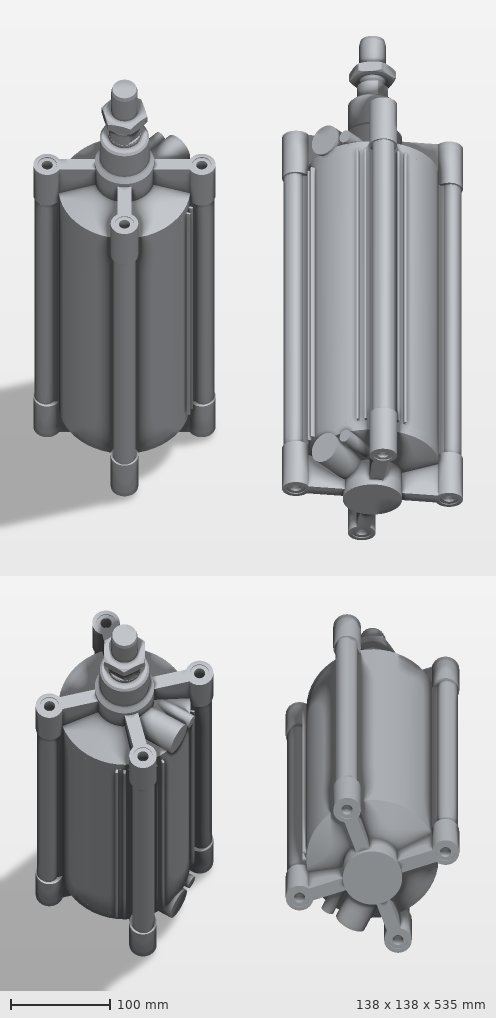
import cadquery as cq
import math

total_height = 535.0
overall_width = 138.0

lower_cap_foot = 6.0
cap_height = 48.0
upper_cap_base = 368.5
disc_diameter = 133.0
disc_height = 11.0
hub_diameter = 60.0
cone_height = 13.5
rib_width = 14.0

boss_diameter = 28.0
boss_offset = (overall_width - boss_diameter) / 2
counterbore_diameter = 19.0
counterbore_depth = 1.0
screw_hole_diameter = 11.0
screw_hole_depth = 21.5

port_diameter = 32.0
port_x = 8.5
port_height = 22.5
port_face_y = overall_width / 2
cushion_boss_diameter = 13.5
cushion_boss_x = -17.0
cushion_boss_height = 17.5
cushion_boss_start_y = 31.0

upper_hub_rise = 5.0
upper_hub_top = upper_cap_base + cap_height + upper_hub_rise
guide_diameter = 50.0
guide_flare_height = 5.5
guide_top = 461.0
guide_chamfer = 2.0

barrel_diameter = disc_diameter
barrel_base = lower_cap_foot + cap_height
barrel_length = upper_cap_base - barrel_base
lobe_offset = 56.0
lobe_width = 21.5
lobe_corner_radius = 9.5
web_width = 15.0
rail_angle = 28.0
rail_spacing = 8.0
rail_width = 2.0
rail_reach = 70.5
rail_root = 5.5

rod_diameter = 32.0
head_diameter = 31.5
head_base = 465.5
flats_width = 27.0
flats_base = 466.5
flats_top = 481.0
thread_diameter = 27.0
neck_diameter = 24.5
neck_top = 484.0
thread_runout = 2.0
thread_chamfer = 4.5
tip_diameter = 24.5
nut_base = 489.0
nut_height = 11.0
nut_across_flats = 41.0
nut_chamfer_angle = 25.0

CORNERS = [(1, 1), (-1, 1), (-1, -1), (1, -1)]


def cylinder(diameter, base, height, x=0.0, y=0.0):
    """Upright cylinder standing on the level `base`."""
    return cq.Workplane("XY", origin=(x, y, base)).circle(diameter / 2).extrude(height)


def y_cylinder(diameter, x, z, y_start, y_end):
    """Cylinder lying along +Y."""
    plane = cq.Plane(origin=(x, y_start, z), xDir=(1, 0, 0), normal=(0, 1, 0))
    return cq.Workplane(plane).circle(diameter / 2).extrude(y_end - y_start)


def diagonal_bars(width, length, base, height):
    """Two crossed bars along the diagonals of the square section."""
    bars = cq.Workplane("XY", origin=(0, 0, base))
    bars = bars.transformed(rotate=(0, 0, 45)).rect(length, width).extrude(height)
    return bars.union(bars.rotate((0, 0, 0), (0, 0, 1), 90))


def make_cap_block(hub_top):
    """Cap with its barrel side on Z = 0 and its hub pointing up to `hub_top`."""
    boss_diagonal = boss_offset * math.sqrt(2)

    profile = [
        (0, 0),
        (disc_diameter / 2, 0),
        (disc_diameter / 2, disc_height),
        (hub_diameter / 2, disc_height + cone_height),
        (hub_diameter / 2, hub_top),
        (0, hub_top),
    ]
    cap = cq.Workplane("XZ").polyline(profile).close().revolve(360, (0, 0, 0), (0, 1, 0))

    cap = cap.union(diagonal_bars(rib_width, 2 * boss_diagonal, 0, cap_height))
    for x_side, y_side in CORNERS:
        cap = cap.union(cylinder(boss_diameter, 0, cap_height, x_side * boss_offset, y_side * boss_offset))

    cap = cap.union(y_cylinder(port_diameter, port_x, port_height, 0, port_face_y))
    cushion_boss = y_cylinder(
        cushion_boss_diameter, cushion_boss_x, cushion_boss_height, cushion_boss_start_y, port_face_y
    )
    cap = cap.union(cushion_boss)

    hole_places = [(x_side * boss_offset, y_side * boss_offset) for x_side, y_side in CORNERS]
    holes = cq.Workplane("XY", origin=(0, 0, cap_height)).pushPoints(hole_places)
    cap = cap.cut(holes.circle(screw_hole_diameter / 2).extrude(-screw_hole_depth))
    return cap.cut(holes.circle(counterbore_diameter / 2).extrude(-counterbore_depth))


def make_lower_cap():
    block = make_cap_block(barrel_base)
    return block.mirror("XY").translate((0, 0, barrel_base))


def make_upper_cap():
    cap = make_cap_block(upper_hub_top - upper_cap_base).translate((0, 0, upper_cap_base))

    flare_top = upper_hub_top + guide_flare_height
    profile = [
        (0, upper_hub_top),
        (hub_diameter / 2, upper_hub_top),
        (guide_diameter / 2, flare_top),
        (guide_diameter / 2, guide_top - guide_chamfer),
        (guide_diameter / 2 - guide_chamfer, guide_top),
        (0, guide_top),
    ]
    guide = cq.Workplane("XZ").polyline(profile).close().revolve(360, (0, 0, 0), (0, 1, 0))
    rod_bore = cylinder(rod_diameter, upper_cap_base, guide_top - upper_cap_base)
    return cap.union(guide).cut(rod_bore)


def make_barrel():
    barrel = cylinder(barrel_diameter, barrel_base, barrel_length)

    lobe_diagonal = lobe_offset * math.sqrt(2)
    barrel = barrel.union(diagonal_bars(web_width, 2 * lobe_diagonal, barrel_base, barrel_length))
    for x_side, y_side in CORNERS:
        place = (x_side * lobe_offset, y_side * lobe_offset, barrel_base)
        lobe = cq.Workplane("XY", origin=place).rect(lobe_width, lobe_width).extrude(barrel_length)
        barrel = barrel.union(lobe.edges("|Z").fillet(lobe_corner_radius))

    rail_start = barrel_diameter / 2 - rail_root
    for angle in (rail_angle, 90 - rail_angle, 90 + rail_angle, 180 - rail_angle):
        for side in (-1, 1):
            rail = cq.Workplane("XY").box(
                rail_reach - rail_start, rail_width, barrel_length, centered=(False, True, False)
            )
            rail = rail.translate((rail_start, side * rail_spacing / 2, barrel_base))
            barrel = barrel.union(rail.rotate((0, 0, 0), (0, 0, 1), angle))
    return barrel


def make_rod():
    profile = [
        (0, upper_cap_base),
        (rod_diameter / 2, upper_cap_base),
        (rod_diameter / 2, head_base),
        (head_diameter / 2, head_base),
        (head_diameter / 2, flats_top),
        (neck_diameter / 2, flats_top),
        (neck_diameter / 2, neck_top),
        (thread_diameter / 2, neck_top + thread_runout),
        (thread_diameter / 2, total_height - thread_chamfer),
        (tip_diameter / 2, total_height),
        (0, total_height),
    ]
    rod = cq.Workplane("XZ").polyline(profile).close().revolve(360, (0, 0, 0), (0, 1, 0))

    flats_height = flats_top - flats_base
    cutter_centre = (flats_width + rod_diameter) / 2
    for side in (-1, 1):
        cutter = cq.Workplane("XY", origin=(side * cutter_centre, 0, flats_base))
        rod = rod.cut(cutter.rect(rod_diameter, rod_diameter).extrude(flats_height))
    return rod


def make_nut():
    across_corners = nut_across_flats / math.cos(math.radians(30))
    nut = cq.Workplane("XY", origin=(0, 0, nut_base)).polygon(6, across_corners).extrude(nut_height)
    nut = nut.rotate((0, 0, 0), (0, 0, 1), 90)

    corner_inset = (across_corners - nut_across_flats) / 2
    corner_drop = corner_inset * math.tan(math.radians(nut_chamfer_angle))
    blank = cylinder(across_corners, nut_base, nut_height)
    blank = blank.edges().chamfer(corner_drop, corner_inset)
    return nut.intersect(blank).cut(cylinder(thread_diameter, nut_base, nut_height))


barrel = make_barrel()
lower_cap = make_lower_cap()
upper_cap = make_upper_cap()
piston_rod = make_rod()
lock_nut = make_nut()

result = cq.Compound.makeCompound(
    [barrel.val(), lower_cap.val(), upper_cap.val(), piston_rod.val(), lock_nut.val()]
)